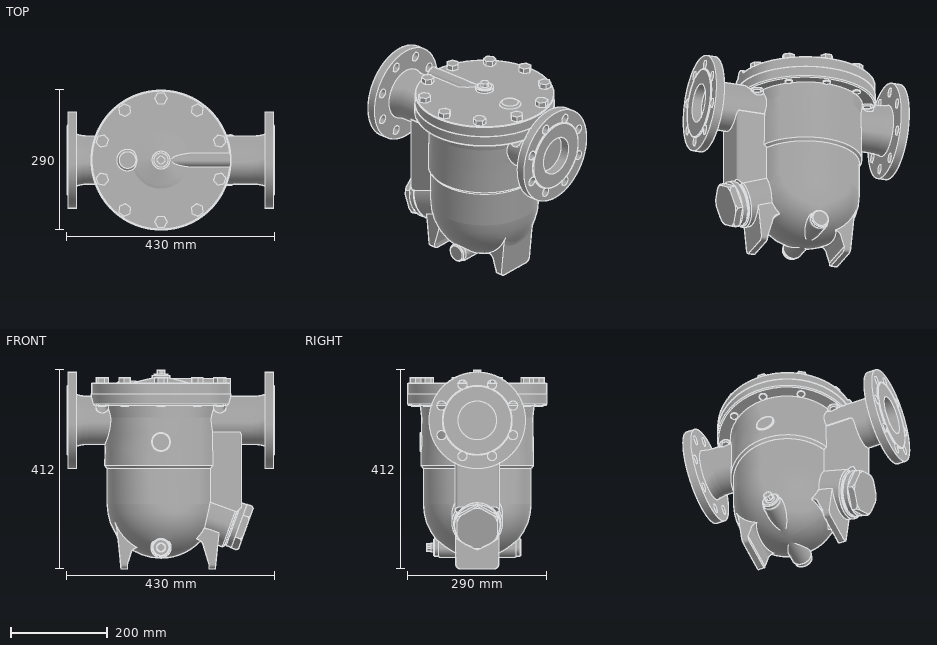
import cadquery as cq
import math


inlet_face_x = -195.0
face_to_face = 430.0
pipe_radius = 100.0 / 2
flange_radius = 200.0 / 2
flange_thickness = 18.0
raised_face_height = 2.0
raised_face_radius = 72.2
raised_face_chamfer = 1.7
flare_length = 23.0
flare_radius = 53.8
bore_radius = 40.0
bore_depth = 20.0
flange_hole_count = 8
flange_hole_diameter = 19.0
flange_hole_circle_radius = 80.0

body_flange_radius = 145.0
body_flange_bottom_z = 31.0
joint_z = 54.5
neck_radius = 118.2
neck_bottom_z = 5.0
upper_top_radius = 115.2
upper_bottom_radius = 117.0
upper_bottom_z = -93.5
step_height = 6.5
dome_radius = 112.0
dome_center_z = -173.7
rim_chamfer = 1.5
name_boss_radius = 19.5
name_boss_chamfer = 1.5
name_boss_z = -44.7
name_boss_face_y = -118.5

cover_radius = 144.0
cover_top_z = 77.5
cone_radius = 59.8
cone_edge_radius = 53.8
cone_edge_height = 1.7
cone_top_radius = 19.8
cone_top_z = 87.5
vent_collar_radius = 18.5
vent_collar_top_z = 93.0
vent_nut_radius = 14.5
vent_nut_top_z = 95.5
cover_top_stud_z = 104.0
cover_pad_x = -69.2
cover_pad_radius = 17.0
cover_pad_base_radius = 22.5
cover_pad_height = 4.5
ridge_half_width = 14.0
ridge_height = 9.5

bolt_count = 10
bolts_over_pipe = (2, 3, 7, 8)
bolt_circle_radius = 127.5
bolt_diameter = 16.0
bolt_head_width = 26.2
bolt_head_height = 11.0
bolt_end_z = 28.5
spot_face_radius = 13.5
spot_face_z = 26.0

square_side = 15.0
square_corner_chamfer = 3.5

passage_half_width = 45.5
passage_top_z = -24.0
passage_end_x = 167.0
passage_fillet = 8.0
strainer_tilt = 20.0
strainer_face_x = 176.0
strainer_face_z = -224.0
strainer_radius = 52.5
strainer_end = -29.5
strainer_length = 103.0
strainer_chamfer = 3.5
strainer_neck_radius = 44.7
strainer_collar_radius = 47.5
strainer_collar_start = -26.5
strainer_hex_start = -15.0
strainer_hex_width = 96.5
strainer_hex_chamfer = 4.0

foot_bottom_z = -308.0
foot_half_width = 44.7
foot_corner_radius = 10.5
foot_core_x = 60.0
foot_core_z = -215.0

foot_blend = 21.5

drain_z = -263.0
drain_radius = 21.0
drain_half_length = 81.0
drain_fillet = 4.5
drain_collar_chamfer = 2.0
drain_collar_radius = 18.5
drain_collar_end = 90.5
drain_stem_radius = 9.5
drain_square_start = 95.5
drain_square_end = 105.0


def disc(radius, bottom_z, top_z):
    """Upright cylinder on the body axis between two heights."""
    return cq.Workplane("XY", origin=(0, 0, bottom_z)).circle(radius).extrude(top_z - bottom_z)


def square_end(length):
    """Square plug end along Z with chamfered edges; its diagonals lie along X and Y."""
    square = cq.Workplane("XY").rect(square_side, square_side).extrude(length)
    return square.edges("|Z").chamfer(square_corner_chamfer).rotate((0, 0, 0), (0, 0, 1), 45)


def pipe_end():
    """Flange with raised face and flared pipe; the face is at Z = 0 and the pipe runs along +Z."""
    back = raised_face_height + flange_thickness
    flare_end = back + flare_length
    rise = flare_radius - pipe_radius
    arc_radius = (flare_length**2 + rise**2) / (2 * rise)
    half_drop = arc_radius - math.sqrt(arc_radius**2 - (flare_length / 2) ** 2)
    profile = (
        cq.Workplane("XZ")
        .moveTo(0, 0)
        .lineTo(raised_face_radius - raised_face_chamfer, 0)
        .lineTo(raised_face_radius, raised_face_chamfer)
        .lineTo(raised_face_radius, raised_face_height)
        .lineTo(flange_radius, raised_face_height)
        .lineTo(flange_radius, back)
        .lineTo(flare_radius, back)
        .threePointArc((pipe_radius + half_drop, back + flare_length / 2), (pipe_radius, flare_end))
        .lineTo(0, flare_end)
        .close()
    )
    holes = (
        cq.Workplane("XY")
        .polarArray(flange_hole_circle_radius, 180 / flange_hole_count, 360, flange_hole_count)
        .circle(flange_hole_diameter / 2)
        .extrude(back)
    )
    return profile.revolve(360, (0, 0, 0), (0, 1, 0)).cut(holes)


def pipe():
    outlet_face_x = inlet_face_x + face_to_face
    flange_depth = raised_face_height + flange_thickness
    inlet = pipe_end().rotate((0, 0, 0), (0, 1, 0), 90).translate((inlet_face_x, 0, 0))
    outlet = pipe_end().rotate((0, 0, 0), (0, 1, 0), -90).translate((outlet_face_x, 0, 0))
    tube = (
        cq.Workplane("YZ", origin=(inlet_face_x + flange_depth, 0, 0))
        .circle(pipe_radius)
        .extrude(face_to_face - 2 * flange_depth)
    )
    return tube.union(inlet).union(outlet)


def port_bores():
    inlet = cq.Workplane("YZ", origin=(inlet_face_x, 0, 0)).circle(bore_radius).extrude(bore_depth)
    return inlet.union(inlet.translate((face_to_face - bore_depth, 0, 0)))


def body():
    """Body of revolution with its flange, a stepped wall and a half-round bottom."""
    slant = dome_radius * math.sqrt(0.5)
    shell = (
        cq.Workplane("XZ")
        .moveTo(0, joint_z)
        .lineTo(neck_radius, joint_z)
        .lineTo(neck_radius, body_flange_bottom_z)
        .lineTo(upper_top_radius, neck_bottom_z)
        .lineTo(upper_bottom_radius, upper_bottom_z)
        .lineTo(dome_radius, upper_bottom_z - step_height)
        .lineTo(dome_radius, dome_center_z)
        .threePointArc((slant, dome_center_z - slant), (0, dome_center_z - dome_radius))
        .close()
        .revolve(360, (0, 0, 0), (0, 1, 0))
    )
    flange = disc(body_flange_radius, body_flange_bottom_z, joint_z).faces("<Z").chamfer(2 * rim_chamfer)
    name_boss = (
        cq.Workplane("XZ", origin=(0, 0, name_boss_z)).circle(name_boss_radius).extrude(-name_boss_face_y)
    )
    name_boss = name_boss.faces("<Y").chamfer(name_boss_chamfer)
    return shell.union(flange).union(name_boss)


def cover():
    plate = disc(cover_radius, joint_z, cover_top_z).faces(">Z").chamfer(rim_chamfer)
    cone = (
        cq.Workplane("XZ")
        .moveTo(0, joint_z)
        .lineTo(cone_radius, joint_z)
        .lineTo(cone_radius, cover_top_z)
        .lineTo(cone_edge_radius, cover_top_z + cone_edge_height)
        .lineTo(cone_top_radius, cone_top_z)
        .lineTo(0, cone_top_z)
        .close()
        .revolve(360, (0, 0, 0), (0, 1, 0))
    )
    pad = (
        cq.Workplane("XY", origin=(cover_pad_x, 0, cover_top_z))
        .circle(cover_pad_base_radius)
        .workplane(offset=cover_pad_height)
        .circle(cover_pad_radius)
        .loft()
    )
    ridge_radius = (ridge_half_width**2 + ridge_height**2) / (2 * ridge_height)
    ridge_axis_z = cover_top_z + ridge_height - ridge_radius
    ridge = (
        cq.Workplane("YZ", origin=(0, 0, ridge_axis_z))
        .circle(ridge_radius)
        .extrude(2 * cover_radius)
        .intersect(disc(cover_radius, joint_z, cone_top_z))
    )
    vent = disc(vent_collar_radius, cover_top_z, vent_collar_top_z)
    vent = vent.union(disc(vent_nut_radius, cover_top_z, vent_nut_top_z))
    stud = square_end(cover_top_stud_z - vent_nut_top_z).translate((0, 0, vent_nut_top_z))
    return plate.union(cone).union(pad).union(ridge).union(vent).union(stud)


def at_bolts(shape, indices):
    """Union of copies of a shape at the numbered bolt positions, counted from +Y."""
    copies = cq.Workplane("XY")
    first = shape.translate((0, bolt_circle_radius, 0))
    for index in indices:
        copies = copies.union(first.rotate((0, 0, 0), (0, 0, 1), index * 360 / bolt_count))
    return copies


def bolts():
    head = cq.Workplane("XY", origin=(0, 0, cover_top_z)).polygon(6, bolt_head_width).extrude(bolt_head_height)
    return at_bolts(head.union(disc(bolt_diameter / 2, bolt_end_z, cover_top_z)), range(bolt_count))


def spot_faces():
    """Round-bottomed clearances below the four bolts that sit above the pipe."""
    ball = cq.Workplane("XY", origin=(0, 0, spot_face_z)).sphere(spot_face_radius)
    return at_bolts(ball.union(disc(spot_face_radius, spot_face_z, body_flange_bottom_z)), bolts_over_pipe)


def strainer():
    """Angled strainer boss with its hexagon cap; built along Z with the cap's outer face at Z = 0."""
    boss = disc(strainer_radius, strainer_end - strainer_length, strainer_end)
    boss = boss.faces(">Z").chamfer(strainer_chamfer)
    neck = disc(strainer_neck_radius, strainer_end, strainer_collar_start)
    collar = disc(strainer_collar_radius, strainer_collar_start, strainer_hex_start)
    cap = cq.Workplane("XY").polygon(6, strainer_hex_width).extrude(strainer_hex_start)
    trim = disc(strainer_hex_width / 2, strainer_hex_start, 0).faces(">Z").chamfer(strainer_hex_chamfer)
    parts = boss.union(neck).union(collar).union(cap.intersect(trim))
    tilted = parts.rotate((0, 0, 0), (0, 1, 0), 90 + strainer_tilt)
    return tilted.translate((strainer_face_x, 0, strainer_face_z))


def outlet_passage():
    """Box rising from the strainer boss; it ends where its sides meet the round boss."""
    tilt = math.radians(strainer_tilt)
    offset = math.sqrt(strainer_radius**2 - passage_half_width**2)

    def on_boss(depth):
        return (
            strainer_face_x + depth * math.cos(tilt) + offset * math.sin(tilt),
            strainer_face_z - depth * math.sin(tilt) + offset * math.cos(tilt),
        )

    end_x, end_z = on_boss(strainer_end)
    outline = [
        (0, passage_top_z),
        (passage_end_x, passage_top_z),
        (passage_end_x, end_z + (passage_end_x - end_x)),
        (end_x, end_z),
        on_boss(strainer_end - strainer_length),
        (0, dome_center_z),
    ]
    box = cq.Workplane("XZ").polyline(outline).close().extrude(passage_half_width, both=True)
    return box.faces(">X").edges("|Z").fillet(passage_fillet)


def foot(pad_outer_x, pad_inner_x, inner_shoulder, inner_bend, inner_root, outer_shoulder):
    """Tapered leg that widens from its pad and curves into the rounded bottom of the body."""
    core_x = math.copysign(foot_core_x, pad_outer_x)
    leg = (
        cq.Workplane("XZ")
        .moveTo(pad_outer_x, foot_bottom_z)
        .lineTo(pad_inner_x, foot_bottom_z)
        .lineTo(pad_inner_x, foot_bottom_z + foot_corner_radius)
        .lineTo(*inner_shoulder)
        .threePointArc(inner_bend, inner_root)
        .lineTo(core_x, foot_core_z)
        .lineTo(*outer_shoulder)
        .close()
        .extrude(foot_half_width, both=True)
    )
    return leg.faces("<Z").edges("|X").fillet(foot_corner_radius)


def inlet_foot():
    return foot(-83.0, -69.2, (-62.8, -278.0), (-57.5, -267.5), (-47.7, -263.0), (-93.0, -208.5))


def outlet_foot():
    return foot(112.5, 99.0, (87.7, -260.0), (83.0, -250.5), (74.0, -246.0), (120.5, -231.5))


def drain():
    """Cross boss at the bottom with a collar at both ends and a square plug at -Y."""
    boss = cq.Workplane("XZ").circle(drain_radius).extrude(drain_half_length, both=True)
    boss = boss.faces("<Y or >Y").edges().fillet(drain_fillet)
    collars = cq.Workplane("XZ").circle(drain_collar_radius).extrude(drain_collar_end, both=True)
    collars = collars.faces("<Y or >Y").chamfer(drain_collar_chamfer)
    stem = cq.Workplane("XZ").circle(drain_stem_radius).extrude(drain_square_start)
    plug = square_end(drain_square_end - drain_square_start)
    plug = plug.rotate((0, 0, 0), (1, 0, 0), 90).translate((0, -drain_square_start, 0))
    return boss.union(collars).union(stem).union(plug).translate((0, 0, drain_z))


def casting():
    """Body with its passage, strainer and feet; the inlet foot blends into the dome."""
    shape = body().union(inlet_foot())
    foot_tip = (-dome_radius, 0, dome_center_z - dome_radius / 2)
    shape = shape.edges(cq.selectors.NearestToPointSelector(foot_tip)).fillet(foot_blend)
    return shape.union(outlet_passage()).union(outlet_foot()).union(strainer())


result = casting().union(pipe()).cut(spot_faces())
for feature in (cover(), bolts(), drain()):
    result = result.union(feature)
result = result.cut(port_bores())